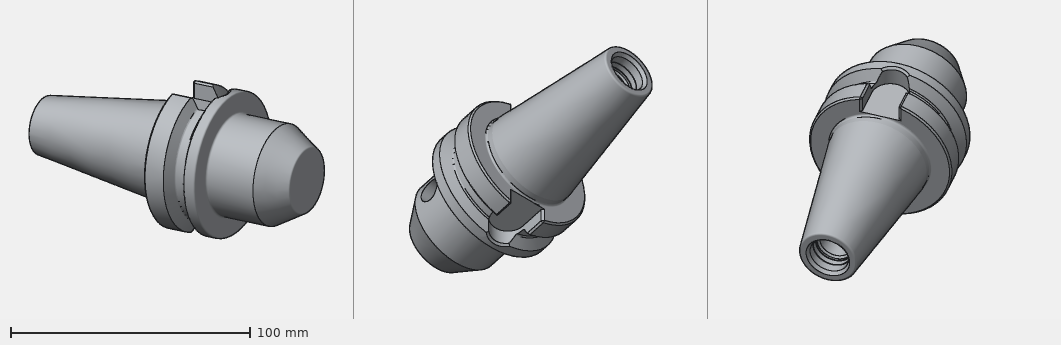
import cadquery as cq
import math


length = 128.4
gauge_x = 65.4
gauge_radius = 22.2
taper_slope = 7 / 48
taper_end_x = 63.7
collar_start_x = 64.5
collar_radius = 22.0
small_end_round = 0.9

flange_start_x = 67.4
flange_end_x = 92.3
flange_radius = 31.5
flange_edge = 0.8
flange_corner = 0.9
groove_center_x = 82.0
groove_mouth = 10.0
groove_left = groove_center_x - groove_mouth / 2
groove_right = groove_center_x + groove_mouth / 2
groove_bottom_radius = 26.3
groove_round = 0.9
groove_flank_angle = math.radians(30)

nose_radius = 22.0
cone_start_x = 115.0
cone_angle = math.radians(30)
nose_round = 0.9

slot_width = 16.2
slot_floor_z = 22.6
slot_end_x = 88.6
slot_chamfer = 1.0
select_margin = 0.1

entry_radius = 9.6
pilot_radius = 8.5
pilot_start_x = 1.7
pilot_end_x = 5.5
recess_radius = 8.2
recess_end_x = 8.1
thread_entry_radius = 7.8
thread_entry_end_x = 9.0
core_radius = 6.9
core_start_x = thread_entry_end_x + thread_entry_radius - core_radius
core_end_x = 36.0
drill_point_angle = math.radians(60)

screw_x = 105.7
screw_diameter = 10.7
screw_depth = 12.8


def taper_radius(x):
    return gauge_radius - (gauge_x - x) * taper_slope


def body():
    groove_run = (flange_radius - groove_bottom_radius) * math.tan(groove_flank_angle)
    bottom_left = groove_left + groove_run
    bottom_right = groove_right - groove_run
    setback = groove_round * math.tan(math.pi / 4 - groove_flank_angle / 2)
    flank_dx = setback * math.sin(groove_flank_angle)
    flank_dr = setback * math.cos(groove_flank_angle)
    tip_radius = nose_radius - (length - cone_start_x) * math.tan(cone_angle)
    rim_radius = flange_radius - flange_edge
    profile = (
        cq.Workplane("XY")
        .lineTo(0, taper_radius(0))
        .lineTo(taper_end_x, taper_radius(taper_end_x))
        .lineTo(collar_start_x, collar_radius)
        .lineTo(flange_start_x - flange_corner, collar_radius)
        .radiusArc((flange_start_x, collar_radius + flange_corner), -flange_corner)
        .lineTo(flange_start_x, rim_radius)
        .lineTo(flange_start_x + flange_edge, flange_radius)
        .lineTo(groove_left, flange_radius)
        .lineTo(bottom_left - flank_dx, groove_bottom_radius + flank_dr)
        .radiusArc((bottom_left + setback, groove_bottom_radius), -groove_round)
        .lineTo(bottom_right - setback, groove_bottom_radius)
        .radiusArc((bottom_right + flank_dx, groove_bottom_radius + flank_dr), -groove_round)
        .lineTo(groove_right, flange_radius)
        .lineTo(flange_end_x - flange_edge, flange_radius)
        .radiusArc((flange_end_x, rim_radius), flange_edge)
        .lineTo(flange_end_x, nose_radius + flange_corner)
        .radiusArc((flange_end_x + flange_corner, nose_radius), -flange_corner)
        .lineTo(cone_start_x, nose_radius)
        .lineTo(length, tip_radius)
        .lineTo(length, 0)
        .close()
    )
    solid = profile.revolve(360, (0, 0, 0), (1, 0, 0))
    solid = solid.faces("<X").edges().fillet(small_end_round)
    return solid.faces(">X").edges().fillet(nose_round)


def drive_slot():
    half_width = slot_width / 2
    arc_x = slot_end_x - half_width
    open_end_x = flange_start_x - flange_corner
    return (
        cq.Workplane("XY", origin=(0, 0, slot_floor_z))
        .moveTo(open_end_x, -half_width)
        .lineTo(arc_x, -half_width)
        .threePointArc((slot_end_x, 0), (arc_x, half_width))
        .lineTo(open_end_x, half_width)
        .close()
        .extrude(flange_radius - slot_floor_z)
    )


def corner_box(x_min, x_max, z_min, side):
    """Select the slot edges centered in an X range and beyond a height on one side."""
    reach = slot_width / 2 + select_margin
    return cq.selectors.BoxSelector(
        (x_min, -reach, side * z_min),
        (x_max, reach, side * flange_radius),
    )


def chamfer_slots(solid):
    above_floor_z = slot_floor_z + select_margin
    below_rim_z = flange_radius - slot_chamfer
    for side in (1, -1):
        front = corner_box(flange_start_x - select_margin, groove_left + select_margin, above_floor_z, side)
        end = corner_box(groove_right, slot_end_x, below_rim_z, side)
        solid = solid.edges(front).chamfer(slot_chamfer)
        solid = solid.edges(end).chamfer(slot_chamfer)
    return solid


def drawbar_bore():
    point_length = core_radius / math.tan(drill_point_angle)
    return (
        cq.Workplane("XY")
        .polyline([
            (0, 0),
            (0, entry_radius),
            (pilot_start_x, pilot_radius),
            (pilot_end_x, pilot_radius),
            (pilot_end_x, recess_radius),
            (recess_end_x, recess_radius),
            (recess_end_x, thread_entry_radius),
            (thread_entry_end_x, thread_entry_radius),
            (core_start_x, core_radius),
            (core_end_x, core_radius),
            (core_end_x + point_length, 0),
        ])
        .close()
        .revolve(360, (0, 0, 0), (1, 0, 0))
    )


def screw_hole():
    return (
        cq.Workplane("XZ", origin=(screw_x, nose_radius, 0))
        .circle(screw_diameter / 2)
        .extrude(screw_depth)
    )


slot = drive_slot()
slotted_body = chamfer_slots(body().cut(slot).cut(slot.mirror("XY")))
result = slotted_body.cut(drawbar_bore()).cut(screw_hole())